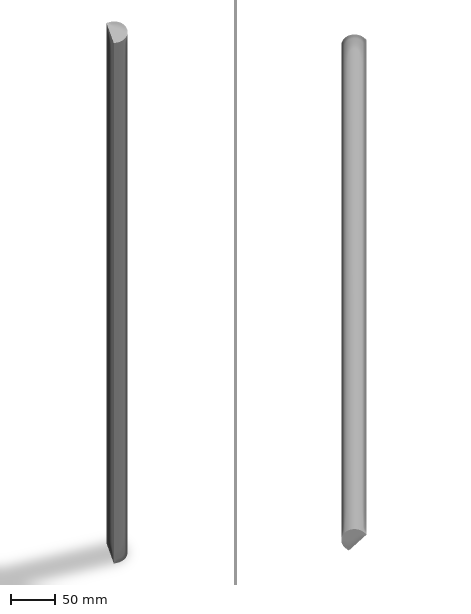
import cadquery as cq

width = 30.0
depth = 20.0
length = 1000.0

crown_radius = width / 2
side_height = depth - crown_radius


def make_bar():
    """D-shaped bar: flat face at Y = 0, short flat sides, half-round crown towards +Y."""
    profile = (
        cq.Workplane("XY")
        .moveTo(-width / 2, 0)
        .lineTo(width / 2, 0)
        .lineTo(width / 2, side_height)
        .threePointArc((0, depth), (-width / 2, side_height))
        .close()
    )
    return profile.extrude(length)


result = make_bar()